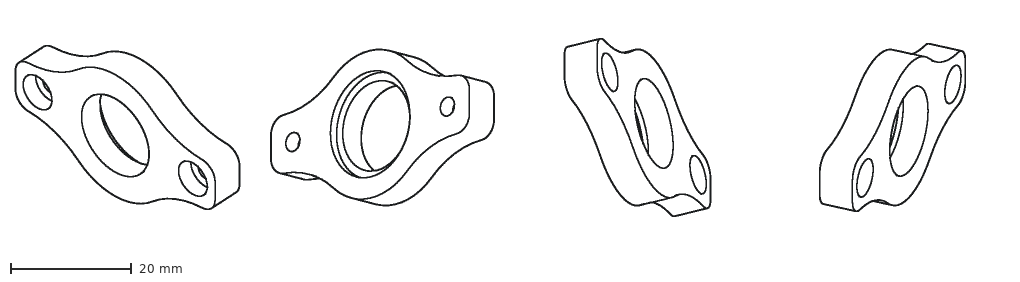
import cadquery as cq
import math

length = 45.0
thickness = 6.0
hub_radius = 12.6
bore_diameter = 15.2
rear_bore_diameter = 18.0
rear_bore_depth = 1.5
neck_radius = 18.0
flat_height = 3.95
corner_radius = 3.0
hole_spacing = 35.0
hole_diameter = 3.2
counterbore_diameter = 6.5
counterbore_depth = 3.0

half_length = length / 2
corner_x = half_length - corner_radius
corner_z = flat_height / 2
corner_distance = math.hypot(corner_x, corner_z)

hub_to_neck = hub_radius + neck_radius
corner_to_neck = corner_radius + neck_radius
triangle_angle = math.acos(
    (hub_to_neck**2 + corner_distance**2 - corner_to_neck**2)
    / (2 * hub_to_neck * corner_distance)
)
hub_angle = math.atan2(corner_z, corner_x) + triangle_angle
neck_x = hub_to_neck * math.cos(hub_angle)
neck_z = hub_to_neck * math.sin(hub_angle)
corner_angle = math.atan2(neck_z - corner_z, neck_x - corner_x)


def arc_point(center_x, center_z, radius, angle):
    """Point on a circle at an angle measured from the X axis."""
    return (center_x + radius * math.cos(angle), center_z + radius * math.sin(angle))


hub_tangent = arc_point(0, 0, hub_radius, hub_angle)
neck_mid = arc_point(neck_x, neck_z, neck_radius, math.pi + (hub_angle + corner_angle) / 2)
corner_tangent = arc_point(corner_x, corner_z, corner_radius, corner_angle)
corner_mid = arc_point(corner_x, corner_z, corner_radius, corner_angle / 2)


def make_plate():
    """Two-eared flange outline, one half drawn and mirrored about the X axis."""
    def left(point):
        return (-point[0], point[1])

    half = (
        cq.Workplane("XZ")
        .moveTo(half_length, 0)
        .lineTo(half_length, corner_z)
        .threePointArc(corner_mid, corner_tangent)
        .threePointArc(neck_mid, hub_tangent)
        .threePointArc((0, hub_radius), left(hub_tangent))
        .threePointArc(left(neck_mid), left(corner_tangent))
        .threePointArc(left(corner_mid), (-half_length, corner_z))
        .lineTo(-half_length, 0)
    )
    return half.mirrorX().extrude(-thickness)


def cylinder(diameter, depth, x=0, start=0):
    """Cylinder running rearward (+Y) from a given distance behind the front face."""
    return cq.Workplane("XZ", origin=(x, start, 0)).circle(diameter / 2).extrude(-depth)


result = make_plate()

result = result.cut(cylinder(bore_diameter, thickness))
result = result.cut(
    cylinder(rear_bore_diameter, rear_bore_depth, start=thickness - rear_bore_depth)
)

for x in (-hole_spacing / 2, hole_spacing / 2):
    result = result.cut(cylinder(hole_diameter, thickness, x))
    result = result.cut(cylinder(counterbore_diameter, counterbore_depth, x))